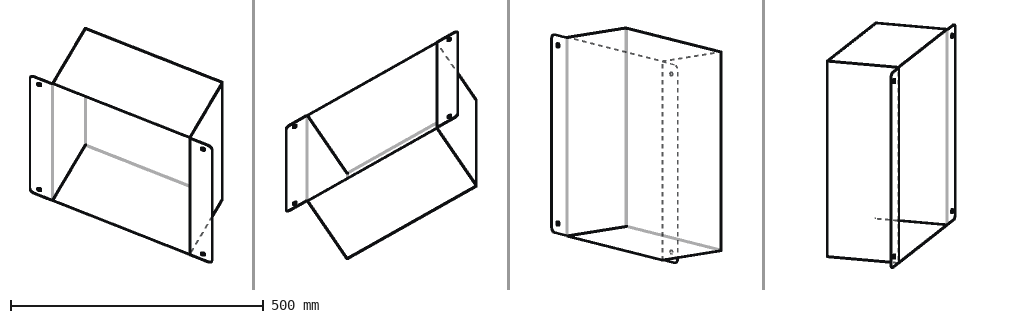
import cadquery as cq

total_width = 400.0
total_depth = 151.5
total_height = 403.0

sheet = 1.5
inner_bend = 1.5
outer_bend = inner_bend + sheet

box_width = 303.0
cap_width = box_width - sheet
cap_setback = sheet
side_height = total_height - 2 * sheet

flange_corner_radius = 10.0
hole_diameter = 8.0
hole_spacing = 360.0


def centred_block(width, front, back, height):
    """Box centred on X and Z, running from front to back along Y."""
    return cq.Workplane("XY").box(width, back - front, height).translate((0, (front + back) / 2, 0))


def make_sides():
    """Hat section: back panel, two side walls and two outward flanges."""
    outer = centred_block(box_width, 0, total_depth, side_height).edges("|Z and >Y").fillet(outer_bend)
    flanges = (
        centred_block(total_width, 0, sheet, side_height)
        .edges("|Y")
        .fillet(flange_corner_radius)
    )
    hat = outer.union(flanges)
    hat = hat.edges(
        cq.selectors.BoxSelector(
            (-box_width / 2 - sheet / 2, sheet / 2, -sheet),
            (box_width / 2 + sheet / 2, sheet * 2, sheet),
        )
    ).edges("|Z").fillet(inner_bend)

    inner_width = box_width - 2 * sheet
    cavity = (
        centred_block(inner_width, 0, total_depth - sheet, side_height)
        .edges("|Z and >Y")
        .fillet(inner_bend)
    )
    hat = hat.cut(cavity)
    return hat.edges("|Z and <Y").edges(
        cq.selectors.BoxSelector(
            (-inner_width / 2 - sheet / 2, -sheet, -sheet),
            (inner_width / 2 + sheet / 2, sheet, sheet),
        )
    ).fillet(outer_bend)


def make_caps():
    """U section: top and bottom panels bent forward from the back panel."""
    shell = (
        centred_block(cap_width, cap_setback, total_depth, total_height)
        .edges("|X and >Y")
        .fillet(outer_bend)
    )
    cavity = (
        centred_block(cap_width, cap_setback, total_depth - sheet, side_height)
        .edges("|X and >Y")
        .fillet(inner_bend)
    )
    rounded_envelope = (
        centred_block(box_width, 0, total_depth, total_height)
        .edges("|Z and >Y")
        .fillet(outer_bend)
    )
    return shell.cut(cavity).intersect(rounded_envelope)


def make_back_trim():
    """Square back edges of the side section that lie outside the cap bends."""
    blank = centred_block(total_width, 0, total_depth, total_height)
    return blank.cut(blank.edges("|X and >Y").fillet(outer_bend))


def make_holes():
    """Four screw holes through the flanges."""
    return (
        cq.Workplane("XZ")
        .rect(hole_spacing, hole_spacing, forConstruction=True)
        .vertices()
        .circle(hole_diameter / 2)
        .extrude(sheet, both=True)
    )


result = make_sides().union(make_caps()).cut(make_back_trim()).cut(make_holes())